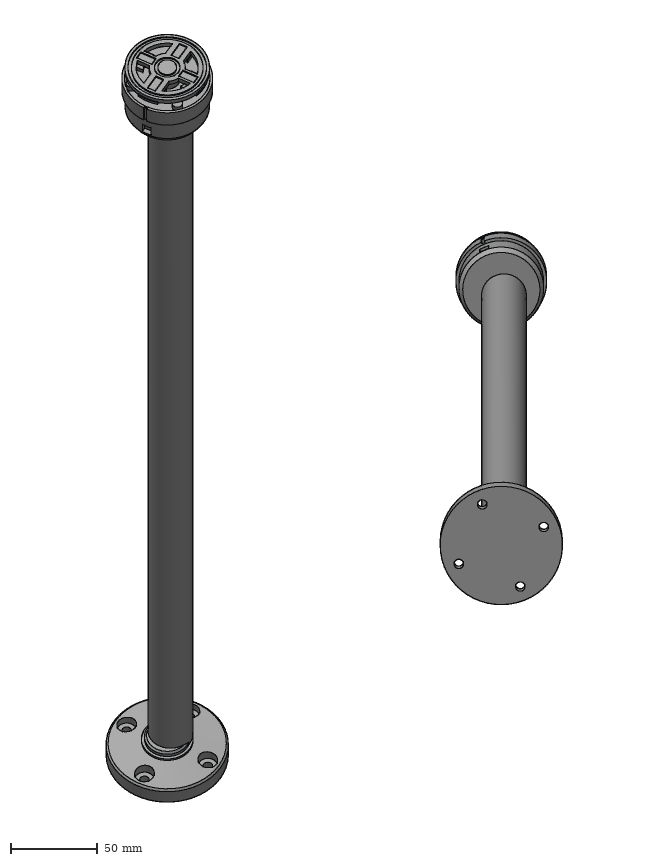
import cadquery as cq

total_height = 630.6

flange_radius = 35.5
flange_edge_height = 10.8
flange_crown_height = 13.2
flange_edge_chamfer = 1.2
collar_foot_radius = 15.0
collar_radius = 13.2
collar_foot_top = 14.6
collar_top = 17.9
collar_chamfer = 1.2

bolt_circle_radius = 27.0
bolt_hole_radius = 2.75
bolt_head_radius = 5.7
bolt_head_seat = 6.0

pole_radius = 13.0
pole_offset_y = 3.8

cap_bottom = 591.2
cap_radius = 24.6
cap_chamfer_radial = 2.2
cap_chamfer_height = 4.0
lip_radius = 26.4
lip_bottom = 609.8
cap_top = 621.0
cap_recess_radius = 24.8
cap_recess_depth = 1.5
cap_floor = cap_top - cap_recess_depth
lip_notch_width = 1.9
lip_notch_depth = 1.0
window_rise = 0.9
window_width = 5.7
window_height = 6.5
window_bottom = cap_bottom + cap_chamfer_height + window_rise
window_depth = 3.0

peg_offset = 15.3
peg_radius = 3.0
peg_rise = 2.0
peg_top = cap_top + peg_rise

wheel_radius = 24.6
wheel_inner_radius = 18.0
wheel_bottom = 627.5
rim_groove_inner_radius = 20.8
rim_groove_outer_radius = 22.8
groove_depth = 1.0
groove_floor = total_height - groove_depth
spoke_y_width = 12.0
spoke_x_width = 8.0
spoke_channel_width = 5.0
spoke_channel_start = 9.0
spoke_channel_end = 19.0
stem_radius = 7.4
hub_radius = 10.5
hub_boss_radius = 5.5
pad_inner_radius = 14.0
pad_outer_radius = 24.0
pad_width = 13.0
pad_bottom = 625.0


def cylinder(radius, bottom, top, x=0, y=0):
    """Upright cylinder between two heights."""
    return cq.Workplane("XY", origin=(x, y, bottom)).circle(radius).extrude(top - bottom)


def block(x_size, y_size, bottom, top, x=0, y=0):
    """Upright block centred on (x, y) between two heights."""
    return cq.Workplane("XY", origin=(x, y, bottom)).rect(x_size, y_size).extrude(top - bottom)


def revolved(outline):
    """Solid of revolution about Z from (radius, height) points."""
    return cq.Workplane("XZ").polyline(outline).close().revolve(360, (0, 0, 0), (0, 1, 0))


def bolt_hole_cutter():
    """Through bore topped by a wider bore for the bolt head."""
    bore = cylinder(bolt_hole_radius, 0, flange_crown_height)
    return bore.union(cylinder(bolt_head_radius, bolt_head_seat, flange_crown_height))


def make_flange():
    flange = revolved([
        (0, 0),
        (flange_radius, 0),
        (flange_radius, flange_edge_height - flange_edge_chamfer),
        (flange_radius - flange_edge_chamfer, flange_edge_height),
        (collar_foot_radius, flange_crown_height),
        (collar_foot_radius, collar_foot_top),
        (collar_radius, collar_foot_top),
        (collar_radius, collar_top - collar_chamfer),
        (collar_radius - collar_chamfer, collar_top),
        (0, collar_top),
    ])
    for x, y in ((1, 0), (0, 1), (-1, 0), (0, -1)):
        hole = bolt_hole_cutter().translate((x * bolt_circle_radius, y * bolt_circle_radius, 0))
        flange = flange.cut(hole)
    return flange


def make_pole():
    return cylinder(pole_radius, flange_edge_height, cap_bottom + cap_chamfer_height, y=pole_offset_y)


def make_cap():
    cap = revolved([
        (0, cap_bottom),
        (cap_radius - cap_chamfer_radial, cap_bottom),
        (cap_radius, cap_bottom + cap_chamfer_height),
        (cap_radius, lip_bottom),
        (lip_radius, lip_bottom),
        (lip_radius, cap_top),
        (cap_recess_radius, cap_top),
        (cap_recess_radius, cap_floor),
        (0, cap_floor),
    ])
    notch = block(lip_notch_width, 2 * lip_notch_depth, lip_bottom, cap_top, y=-lip_radius)
    window = block(
        window_width, 2 * window_depth, window_bottom, window_bottom + window_height, y=-cap_radius
    )
    cap = cap.cut(notch).cut(window)
    for side in (-1, 1):
        peg = cylinder(peg_radius, cap_floor, peg_top, side * peg_offset, -peg_offset)
        cap = cap.union(peg)
    return cap


def ring_groove(inner_radius, outer_radius):
    """Cutter for an annular groove in the top face of the wheel."""
    outer = cylinder(outer_radius, groove_floor, total_height)
    return outer.cut(cylinder(inner_radius, groove_floor, total_height))


def make_wheel():
    disc = cylinder(wheel_radius, wheel_bottom, total_height)
    rim = disc.cut(cylinder(wheel_inner_radius, wheel_bottom, total_height))
    spoke_length = 2 * rim_groove_inner_radius
    wheel = rim.union(block(spoke_y_width, spoke_length, wheel_bottom, total_height))
    wheel = wheel.union(block(spoke_length, spoke_x_width, wheel_bottom, total_height))
    wheel = wheel.union(cylinder(hub_radius, wheel_bottom, total_height))
    wheel = wheel.cut(ring_groove(hub_boss_radius, stem_radius))
    wheel = wheel.cut(ring_groove(rim_groove_inner_radius, rim_groove_outer_radius))
    channel_length = spoke_channel_end - spoke_channel_start
    channel_centre = (spoke_channel_start + spoke_channel_end) / 2
    for side in (-1, 1):
        place = side * channel_centre
        wheel = wheel.cut(block(spoke_channel_width, channel_length, groove_floor, total_height, y=place))
        wheel = wheel.cut(block(channel_length, spoke_channel_width, groove_floor, total_height, x=place))

    pad_ring = cylinder(pad_outer_radius, pad_bottom, wheel_bottom)
    pad_ring = pad_ring.cut(cylinder(pad_inner_radius, pad_bottom, wheel_bottom))
    pad_cross = block(pad_width, 2 * wheel_radius, pad_bottom, wheel_bottom)
    pad_cross = pad_cross.union(block(2 * wheel_radius, pad_width, pad_bottom, wheel_bottom))
    wheel = wheel.union(pad_ring.intersect(pad_cross))
    return wheel.union(cylinder(stem_radius, cap_floor, wheel_bottom))


result = make_flange().union(make_pole()).union(make_cap()).union(make_wheel())